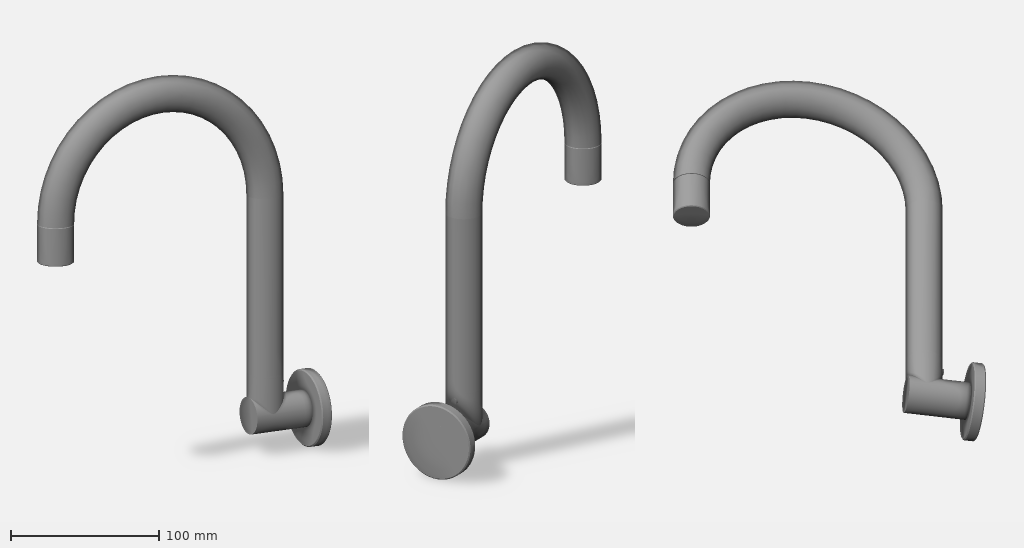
import cadquery as cq

overall_height = 272.0
overall_depth = 210.0

flange_diameter = 53.0
flange_thickness = 8.0
flange_chamfer = 0.8

stem_diameter = 25.5
collar_top = 53.8
spacer_thickness = 1.5
tube_diameter = 25.0
collar_diameter = tube_diameter
bend_radius = 80.0

sleeve_diameter = tube_diameter
sleeve_length = 27.0
sleeve_chamfer = 0.5

screw_diameter = 4.4
screw_height = 48.0
screw_depth = 5.5
screw_proud = 0.8

stem_height = flange_diameter / 2
bend_height = overall_height - bend_radius - tube_diameter / 2
riser_bottom = collar_top + spacer_thickness
sleeve_y = -2 * bend_radius
flange_rear_y = sleeve_y - sleeve_diameter / 2 + overall_depth
flange_front_y = flange_rear_y - flange_thickness
stem_front_y = -collar_diameter / 2


def upright_cylinder(diameter, bottom, top, y=0):
    """Cylinder parallel to Z between two heights."""
    return cq.Workplane("XY", origin=(0, y, bottom)).circle(diameter / 2).extrude(top - bottom)


def level_cylinder(diameter, height, front_y, rear_y):
    """Cylinder parallel to Y at a given height."""
    plane = cq.Plane(origin=(0, front_y, height), xDir=(1, 0, 0), normal=(0, 1, 0))
    return cq.Workplane(plane).circle(diameter / 2).extrude(rear_y - front_y)


def make_flange():
    """Wall flange with chamfered rims, bored for the stem."""
    disc = level_cylinder(flange_diameter, stem_height, flange_front_y, flange_rear_y)
    bore = level_cylinder(stem_diameter, stem_height, flange_front_y, flange_rear_y)
    return disc.edges().chamfer(flange_chamfer).cut(bore)


def make_screw():
    """Grub screw let into the rear of the collar, standing slightly proud."""
    collar_rear_y = collar_diameter / 2
    return level_cylinder(
        screw_diameter, screw_height, collar_rear_y - screw_depth, collar_rear_y + screw_proud
    )


def make_elbow():
    """Horizontal stem with the upright collar that carries the riser."""
    stem = level_cylinder(stem_diameter, stem_height, stem_front_y, flange_rear_y)
    collar = upright_cylinder(collar_diameter, stem_height, collar_top)
    return stem.union(collar).cut(make_screw())


def make_spacer():
    """Thin disc between the collar and the riser."""
    return upright_cylinder(tube_diameter, collar_top, riser_bottom)


def make_neck():
    """Straight riser followed by a half-turn bend that ends pointing down."""
    path = (
        cq.Workplane("YZ")
        .moveTo(0, riser_bottom)
        .lineTo(0, bend_height)
        .threePointArc((-bend_radius, bend_height + bend_radius), (sleeve_y, bend_height))
    )
    return cq.Workplane("XY", origin=(0, 0, riser_bottom)).circle(tube_diameter / 2).sweep(path)


def make_sleeve():
    """Outlet sleeve with chamfered rims, butted against the end of the bend."""
    body = upright_cylinder(sleeve_diameter, bend_height - sleeve_length, bend_height, sleeve_y)
    return body.edges().chamfer(sleeve_chamfer)


flange = make_flange()
elbow = make_elbow()
screw = make_screw()
spacer = make_spacer()
neck = make_neck()
sleeve = make_sleeve()

result = cq.Compound.makeCompound(
    [flange.val(), elbow.val(), screw.val(), spacer.val(), neck.val(), sleeve.val()]
)